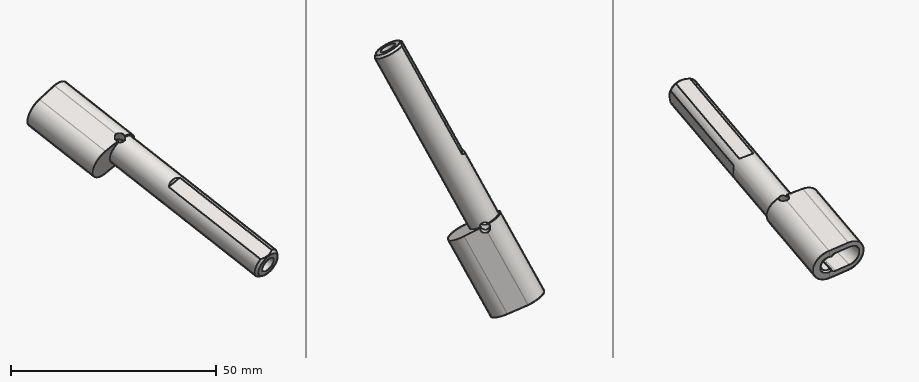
import cadquery as cq
import math

total_length = 73.0
head_length = 22.9
head_height = 9.0
head_width = 14.5
head_radius = head_height / 2
lobe_offset = head_width - head_height
face_tilt = 3.5

shaft_radius = 4.0
shaft_chamfer = 0.65
flat_height = 3.5
flat_start = 40.45

bore_diameter = 4.0
bore_radius = bore_diameter / 2
bore_chamfer = 0.475
cross_hole_diameter = 2.55
cross_hole_x = 22.4

pocket_radius = 2.9
pocket_inner = 0.65
pocket_outer = 8.8
pocket_corner = 1.2
pocket_depth = 12.4

pilot_radius = 1.7
pilot_offset = 5.9
pilot_depth = 4.4
point_angle = 118.0

clearance = 0.7

tilt = math.radians(face_tilt)
tilted_face = cq.Plane(
    origin=(0, 0, 0),
    xDir=(math.sin(tilt), -math.cos(tilt), 0),
    normal=(math.cos(tilt), math.sin(tilt), 0),
)


def make_head():
    head = (
        cq.Workplane("YZ")
        .center(-lobe_offset / 2, 0)
        .slot2D(head_width, head_height)
        .extrude(head_length)
    )
    slanted_waste = (
        cq.Workplane("XY")
        .polyline([(0, 0), (0, -head_width), (head_width * math.tan(tilt), -head_width)])
        .close()
        .extrude(head_radius + clearance, both=True)
    )
    return head.cut(slanted_waste)


def make_shaft():
    shaft_base = head_length / 2
    shaft = (
        cq.Workplane("YZ", origin=(shaft_base, 0, 0))
        .circle(shaft_radius)
        .extrude(total_length - shaft_base)
        .faces(">X")
        .chamfer(shaft_chamfer)
    )
    ramp = shaft_radius - flat_height
    top_flat = (
        cq.Workplane("XZ")
        .moveTo(flat_start, shaft_radius)
        .lineTo(flat_start + ramp, flat_height)
        .lineTo(total_length + clearance, flat_height)
        .lineTo(total_length + clearance, shaft_radius)
        .close()
        .extrude(shaft_radius, both=True)
    )
    side_flat = top_flat.rotate((0, 0, 0), (1, 0, 0), -90)
    return shaft.cut(top_flat).cut(side_flat)


def make_bore():
    mouth_radius = bore_radius + bore_chamfer
    return (
        cq.Workplane("XY")
        .moveTo(-clearance, 0)
        .lineTo(-clearance, mouth_radius)
        .lineTo(0, mouth_radius)
        .lineTo(bore_chamfer, bore_radius)
        .lineTo(total_length + clearance, bore_radius)
        .lineTo(total_length + clearance, 0)
        .close()
        .revolve(360, (0, 0, 0), (1, 0, 0))
    )


def make_pocket():
    arc_center = pocket_outer - pocket_radius
    return (
        cq.Workplane(tilted_face)
        .workplane(offset=-clearance)
        .moveTo(pocket_inner, pocket_corner - pocket_radius)
        .radiusArc((pocket_inner + pocket_corner, -pocket_radius), -pocket_corner)
        .lineTo(arc_center, -pocket_radius)
        .threePointArc((pocket_outer, 0), (arc_center, pocket_radius))
        .lineTo(pocket_inner + pocket_corner, pocket_radius)
        .radiusArc((pocket_inner, pocket_radius - pocket_corner), -pocket_corner)
        .close()
        .extrude(pocket_depth + clearance)
    )


def make_pilot_hole():
    wall_end = pocket_depth + pilot_depth
    tip = wall_end + pilot_radius / math.tan(math.radians(point_angle / 2))
    profile_plane = cq.Plane(
        origin=tilted_face.toWorldCoords((pilot_offset, 0, 0)),
        xDir=tilted_face.zDir,
        normal=(0, 0, 1),
    )
    return (
        cq.Workplane(profile_plane)
        .polyline([(0, 0), (0, pilot_radius), (wall_end, pilot_radius), (tip, 0)])
        .close()
        .revolve(360, (0, 0, 0), (1, 0, 0))
    )


cross_hole = (
    cq.Workplane("XY")
    .center(cross_hole_x, 0)
    .circle(cross_hole_diameter / 2)
    .extrude(head_radius + clearance, both=True)
)

result = make_head().union(make_shaft())
for cutter in (make_bore(), make_pocket(), make_pilot_hole(), cross_hole):
    result = result.cut(cutter)